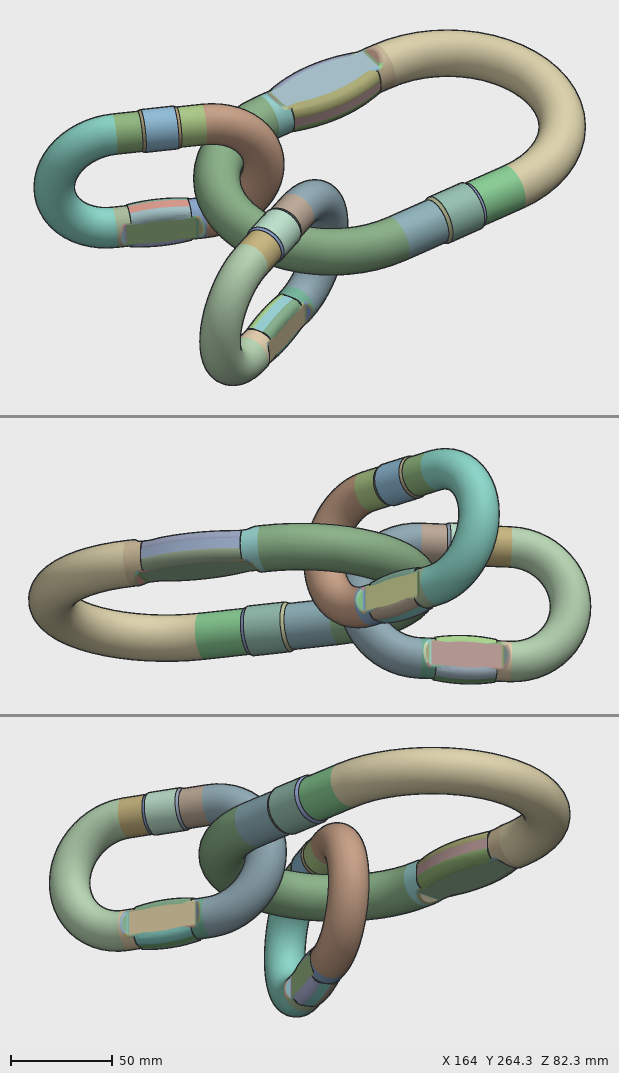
import cadquery as cq
import math

MASTER_WIRE = 23.0
MASTER_INNER_WIDTH = 90.0
MASTER_INNER_LENGTH = 160.0
MASTER_WELD_DIAMETER = 24.8
MASTER_WELD_LENGTH = 22.7
MASTER_WELD_BEVEL = 1.8
MASTER_SWELL_LENGTH = 51.8
MASTER_SWELL_WIDTH = 32.0
MASTER_FLAT_LENGTH = 56.5
MASTER_FLAT_THICKNESS = 16.5
MASTER_RUNOUT_ROUND = 2.0
MASTER_SWELL_ROUND = 5.5

SIDE_WIRE = 20.0
SIDE_INNER_WIDTH = 40.0
SIDE_INNER_LENGTH = 84.8
SIDE_WELD_DIAMETER = 21.5
SIDE_WELD_LENGTH = 19.5
SIDE_WELD_BEVEL = 1.5
SIDE_SWELL_LENGTH = 30.5
SIDE_SWELL_WIDTH = 23.0
SIDE_FLAT_LENGTH = 36.5
SIDE_FLAT_THICKNESS = 14.8
SIDE_RUNOUT_ROUND = 1.8
SIDE_SWELL_ROUND = 4.8

SPREAD_ANGLE = 25.0
ASSEMBLY_WIDTH = 164.0
ASSEMBLY_LENGTH = 264.3


def make_wire_loop(wire, inner_width, inner_length):
    """Oval ring of round wire in the XY plane, long axis along Y."""
    bend_radius = (inner_width + wire) / 2
    half_straight = (inner_length - inner_width) / 2
    path = (
        cq.Workplane("XY")
        .moveTo(bend_radius, -half_straight)
        .lineTo(bend_radius, half_straight)
        .threePointArc((0, half_straight + bend_radius), (-bend_radius, half_straight))
        .lineTo(-bend_radius, -half_straight)
        .threePointArc((0, -half_straight - bend_radius), (bend_radius, -half_straight))
        .close()
    )
    profile = cq.Workplane("XZ", origin=(bend_radius, -half_straight, 0)).circle(wire / 2)
    return profile.sweep(path)


def make_weld_collar(wire, diameter, length, bevel):
    """Raised weld band around a straight limb lying on the Y axis, conical at both ends."""
    half_length = length / 2
    half_crest = half_length - bevel
    return (
        cq.Workplane("XY")
        .moveTo(0, -half_length)
        .lineTo(wire / 2, -half_length)
        .lineTo(diameter / 2, -half_crest)
        .lineTo(diameter / 2, half_crest)
        .lineTo(wire / 2, half_length)
        .lineTo(0, half_length)
        .close()
        .revolve(360, (0, 0, 0), (0, 1, 0))
    )


def make_flat_cutter(wire, flat_length, flat_thickness, foot_round):
    """Bar that flattens the +Z side of a limb, its 45 degree ends running out at the wire surface."""
    floor = flat_thickness / 2
    crest = wire / 2
    half_floor = flat_length / 2
    half_crest = half_floor + crest - floor
    return (
        cq.Workplane("YZ")
        .moveTo(-half_floor, floor)
        .lineTo(half_floor, floor)
        .lineTo(half_crest, crest)
        .lineTo(-half_crest, crest)
        .close()
        .extrude(wire / 2, both=True)
        .edges("|X and <Z")
        .fillet(foot_round)
    )


def make_swell(wire, length, width, thickness, edge_round):
    """Flat tag with two bulging, rounded sides, centred on a limb lying on the Y axis."""
    half_length = length / 2
    end_half_width = wire / 2
    return (
        cq.Workplane("XY")
        .moveTo(-end_half_width, -half_length)
        .lineTo(end_half_width, -half_length)
        .threePointArc((width / 2, 0), (end_half_width, half_length))
        .lineTo(-end_half_width, half_length)
        .threePointArc((-width / 2, 0), (-end_half_width, -half_length))
        .close()
        .extrude(thickness / 2, both=True)
        .edges("%CIRCLE")
        .fillet(edge_round)
    )


def make_link(
    wire, inner_width, inner_length,
    weld_diameter, weld_length, weld_bevel,
    swell_length, swell_width, swell_round,
    flat_length, flat_thickness, runout_round,
):
    """Closed link in the XY plane with its weld on the +X limb and its flattened tag on the -X limb."""
    limb_offset = (inner_width + wire) / 2
    collar = make_weld_collar(wire, weld_diameter, weld_length, weld_bevel)
    cutter = make_flat_cutter(wire, flat_length, flat_thickness, runout_round)
    swell = make_swell(wire, swell_length, swell_width, flat_thickness, swell_round)
    flattened_loop = (
        make_wire_loop(wire, inner_width, inner_length)
        .cut(cutter.translate((-limb_offset, 0, 0)))
        .cut(cutter.mirror("XY").translate((-limb_offset, 0, 0)))
        .edges("%ELLIPSE")
        .fillet(runout_round)
    )
    return (
        flattened_loop
        .union(collar.translate((limb_offset, 0, 0)))
        .union(swell.translate((-limb_offset, 0, 0)))
        .solids()
    )


def make_master_link():
    return make_link(
        MASTER_WIRE, MASTER_INNER_WIDTH, MASTER_INNER_LENGTH,
        MASTER_WELD_DIAMETER, MASTER_WELD_LENGTH, MASTER_WELD_BEVEL,
        MASTER_SWELL_LENGTH, MASTER_SWELL_WIDTH, MASTER_SWELL_ROUND,
        MASTER_FLAT_LENGTH, MASTER_FLAT_THICKNESS, MASTER_RUNOUT_ROUND,
    )


def make_side_link(side):
    """Side link standing upright, weld at the top; side is +1 for +X and -1 for -X."""
    half_axis_length = (SIDE_INNER_LENGTH + SIDE_WIRE) / 2
    tilt = math.radians(SPREAD_ANGLE)
    master_top = MASTER_INNER_LENGTH / 2 + MASTER_WIRE
    outer_end_x = (ASSEMBLY_WIDTH - SIDE_WIRE) / 2
    outer_end_y = master_top - ASSEMBLY_LENGTH + SIDE_WIRE / 2
    centre_x = outer_end_x - half_axis_length * math.sin(tilt)
    centre_y = outer_end_y + half_axis_length * math.cos(tilt)
    link = make_link(
        SIDE_WIRE, SIDE_INNER_WIDTH, SIDE_INNER_LENGTH,
        SIDE_WELD_DIAMETER, SIDE_WELD_LENGTH, SIDE_WELD_BEVEL,
        SIDE_SWELL_LENGTH, SIDE_SWELL_WIDTH, SIDE_SWELL_ROUND,
        SIDE_FLAT_LENGTH, SIDE_FLAT_THICKNESS, SIDE_RUNOUT_ROUND,
    )
    return (
        link
        .rotate((0, 0, 0), (0, 1, 0), -90)
        .rotate((0, 0, 0), (0, 0, 1), side * SPREAD_ANGLE)
        .translate((side * centre_x, centre_y, 0))
    )


master_link = make_master_link()
side_links = [make_side_link(side) for side in (-1, 1)]

result = cq.Compound.makeCompound([master_link.val(), *[link.val() for link in side_links]])